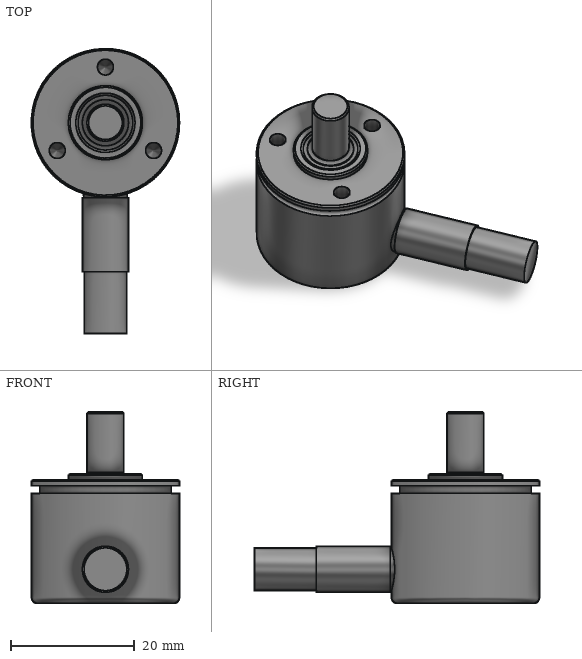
import cadquery as cq
import math

housing_radius = 12.0
housing_height = 17.8
bottom_fillet = 1.0
groove_radius = 10.65
groove_width = 1.2
flange_top = 20.0
edge_chamfer = 0.28

boss_radius = 6.0
boss_height = 0.95
boss_top = flange_top + boss_height
bearing_outer_radius = 4.8
bearing_recess_radius = 4.43
bearing_inner_radius = 3.75
bearing_recess_depth = 0.2
bearing_chamfer = 0.15

shaft_radius = 3.0
shaft_top = 31.0

hole_count = 3
hole_radius = 1.3
hole_circle_radius = 9.0
hole_depth = 5.0
drill_tip_angle = 118.0
first_hole_angle = 90.0

outlet_height = 5.55
neck_radius = 3.55
collar_radius = 3.75
cable_radius = 3.45
collar_start = 12.12
collar_end = 24.1
cable_end = 34.1


def upright_cylinder(radius, bottom, top):
    return cq.Workplane("XY").workplane(offset=bottom).circle(radius).extrude(top - bottom)


def outlet_cylinder(radius, end):
    """Cylinder from the housing axis to a distance along -Y."""
    return cq.Workplane("XZ").center(0, outlet_height).circle(radius).extrude(end)


def make_housing():
    flange_bottom = housing_height + groove_width
    shell = upright_cylinder(housing_radius, 0, housing_height).faces("<Z").edges().fillet(bottom_fillet)
    core = upright_cylinder(groove_radius, housing_height, flange_bottom)
    flange = upright_cylinder(housing_radius, flange_bottom, flange_top)
    flange = flange.faces(">Z").edges().chamfer(edge_chamfer)
    return shell.union(core).union(flange)


def make_boss():
    boss = upright_cylinder(boss_radius, flange_top, boss_top)
    boss = boss.faces(">Z").edges().chamfer(edge_chamfer)
    recess_floor = boss_top - bearing_recess_depth
    recess = (
        cq.Workplane("XZ")
        .moveTo(bearing_inner_radius, boss_top)
        .lineTo(bearing_outer_radius, boss_top)
        .lineTo(bearing_recess_radius, boss_top - bearing_chamfer)
        .lineTo(bearing_recess_radius, recess_floor)
        .lineTo(bearing_inner_radius, recess_floor)
        .close()
        .revolve(360, (0, 0, 0), (0, 1, 0))
    )
    return boss.cut(recess)


def make_shaft():
    shaft = upright_cylinder(shaft_radius, boss_top, shaft_top)
    return shaft.faces("<Z or >Z").edges().chamfer(edge_chamfer)


def make_outlet():
    neck = outlet_cylinder(neck_radius, collar_start)
    collar = outlet_cylinder(collar_radius, collar_end)
    collar = collar.cut(outlet_cylinder(collar_radius, collar_start))
    cable = outlet_cylinder(cable_radius, cable_end)
    return neck.union(collar).union(cable)


def make_hole(angle):
    tip_depth = hole_radius / math.tan(math.radians(drill_tip_angle / 2))
    cone_top = flange_top - hole_depth
    hole = (
        cq.Workplane("XZ")
        .moveTo(0, flange_top)
        .lineTo(hole_radius, flange_top)
        .lineTo(hole_radius, cone_top)
        .lineTo(0, cone_top - tip_depth)
        .close()
        .revolve(360, (0, 0, 0), (0, 1, 0))
    )
    return hole.translate((hole_circle_radius, 0, 0)).rotate((0, 0, 0), (0, 0, 1), angle)


result = make_housing().union(make_boss()).union(make_shaft()).union(make_outlet())
for index in range(hole_count):
    result = result.cut(make_hole(first_hole_angle + index * 360 / hole_count))